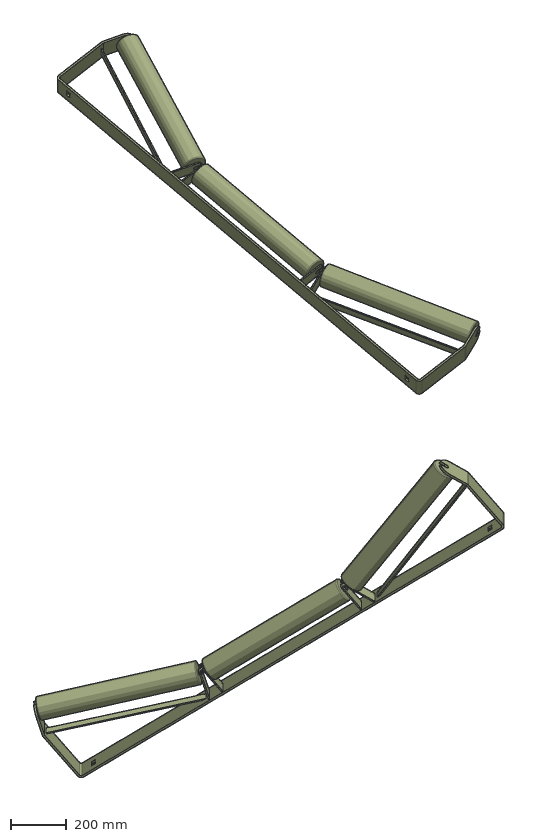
import cadquery as cq
import math


LENGTH = 1890.0
STRAP_WIDTH = 80.0
STRAP_THICK = 8.5
BASE_BEND_RADIUS = 15.0
LEG_BEND_RADIUS = 17.0
END_PLATE_LENGTH = 120.0
MOUNT_HOLE_X = 880.0
MOUNT_HOLE_LENGTH = 17.0
MOUNT_HOLE_HEIGHT = 23.0

ROLLER_DIA = 89.0
ROLLER_LENGTH = 600.0
RIM_RADIUS = 4.0
SHAFT_DIA = 17.0
TROUGH_ANGLE = 20.0
CENTRE_Y = 102.0
SIDE_INNER_X = 338.0
SIDE_INNER_Y = 112.0
INNER_Z = -7.2
INNER_GAP = 5.0
OUTER_GAP = 4.0

BRACKET_THICK = 5.0
BRACKET_WIDTH = 50.0
BRACKET_TOP = 130.0
BRACKET_CORNER_RADIUS = 15.0
STRUT_THICK = 5.0
STRUT_WIDTH = 30.0
STRUT_ANGLE = 21.1
STRUT_FOOT_X = 387.0

SLOT_RISE = 57.0
SLOT_OVERCUT = 2.0

HALF_LENGTH = LENGTH / 2
LEG_INNER_X = HALF_LENGTH - STRAP_THICK
TROUGH = math.radians(TROUGH_ANGLE)
SIN = math.sin(TROUGH)
COS = math.cos(TROUGH)
TAN = math.tan(TROUGH)
INNER_STUB = INNER_GAP + BRACKET_THICK
OUTER_STUB = OUTER_GAP + STRAP_THICK

SIDE_OUTER_X = SIDE_INNER_X + ROLLER_LENGTH * COS
SIDE_OUTER_Y = SIDE_INNER_Y + ROLLER_LENGTH * SIN
LEG_BEND_Y = SIDE_OUTER_Y - ((LEG_INNER_X - SIDE_OUTER_X) * COS - OUTER_GAP) / SIN
BEND_MITRE_RISE = STRAP_THICK * math.tan(TROUGH / 2)

SIDE_TILT = math.degrees(math.asin(-INNER_Z / ROLLER_LENGTH))


def flat_bar(outline, width):
    """Extrude an XY outline symmetrically about Z = 0."""
    return cq.Workplane("XY").polyline(outline).close().extrude(width / 2, both=True)


def mirrored_copy(shape):
    return shape.mirror("YZ")


def place_centre(shape):
    return shape.translate((-ROLLER_LENGTH / 2, CENTRE_Y, INNER_Z))


def place_side(shape):
    """Move a shape built along +X onto the axis of the right side roller."""
    tilted = shape.rotate((0, 0, 0), (0, 1, 0), -SIDE_TILT)
    leaning = tilted.rotate((0, 0, 0), (0, 0, 1), TROUGH_ANGLE)
    return leaning.translate((SIDE_INNER_X, SIDE_INNER_Y, INNER_Z))


def make_roller(left_stub, right_stub):
    """Roller along +X, its left end face at the origin, with a shaft stub at each end."""
    shell = (
        cq.Workplane("YZ")
        .circle(ROLLER_DIA / 2)
        .extrude(ROLLER_LENGTH)
        .edges("<X or >X")
        .fillet(RIM_RADIUS)
    )
    shaft = (
        cq.Workplane("YZ", origin=(-left_stub, 0, 0))
        .circle(SHAFT_DIA / 2)
        .extrude(left_stub + ROLLER_LENGTH + right_stub)
    )
    return shell.union(shaft)


def make_slot(start_x, length):
    """Open-topped slot along +X with a round bottom that seats the shaft."""
    plane = cq.Workplane("YZ", origin=(start_x, 0, 0))
    seat = plane.circle(SHAFT_DIA / 2).extrude(length)
    opening = plane.center(SLOT_RISE / 2, 0).rect(SLOT_RISE, SHAFT_DIA).extrude(length)
    return seat.union(opening)


def make_strap():
    """Base and the upright part of both end legs, with the mounting holes."""
    outside = (
        cq.Workplane("XY")
        .box(LENGTH, LEG_BEND_Y, STRAP_WIDTH, centered=(True, False, True))
        .edges("|Z and <Y")
        .fillet(BASE_BEND_RADIUS)
    )
    inside = (
        cq.Workplane("XY")
        .box(2 * LEG_INNER_X, LEG_BEND_Y, STRAP_WIDTH, centered=(True, False, True))
        .edges("|Z and <Y")
        .fillet(BASE_BEND_RADIUS - STRAP_THICK)
        .translate((0, STRAP_THICK, 0))
    )
    holes = (
        cq.Workplane("XZ")
        .pushPoints([(-MOUNT_HOLE_X, 0), (MOUNT_HOLE_X, 0)])
        .rect(MOUNT_HOLE_LENGTH, MOUNT_HOLE_HEIGHT)
        .extrude(-STRAP_THICK)
    )
    return outside.cut(inside).cut(holes)


def make_end_plate():
    """Leaning upper part of the right end leg, with a full-round tip."""
    inner_face = cq.Plane(
        origin=(LEG_INNER_X, LEG_BEND_Y, 0), xDir=(-SIN, COS, 0), normal=(COS, SIN, 0)
    )
    tip_radius = STRAP_WIDTH / 2
    tip_start = END_PLATE_LENGTH - tip_radius
    plate = (
        cq.Workplane(inner_face)
        .moveTo(0, -tip_radius)
        .lineTo(tip_start, -tip_radius)
        .threePointArc((END_PLATE_LENGTH, 0), (tip_start, tip_radius))
        .lineTo(0, tip_radius)
        .close()
        .extrude(STRAP_THICK)
    )
    wedge = flat_bar(
        [
            (LEG_INNER_X, LEG_BEND_Y),
            (HALF_LENGTH, LEG_BEND_Y),
            (HALF_LENGTH, LEG_BEND_Y + BEND_MITRE_RISE),
            (LEG_INNER_X + STRAP_THICK * COS, LEG_BEND_Y + STRAP_THICK * SIN),
        ],
        STRAP_WIDTH,
    )
    return plate.union(wedge)


def make_bracket():
    """Right bracket: an upright leg and a leg square to the side roller, joined at the top."""
    upright_x = ROLLER_LENGTH / 2 + INNER_GAP
    face_x = SIDE_INNER_X - INNER_GAP * COS
    face_y = SIDE_INNER_Y - INNER_GAP * SIN
    under_top = BRACKET_TOP - BRACKET_THICK

    def leaning_point(y, depth):
        """Point of the leaning leg at height y, at a depth behind its roller-side face."""
        return (face_x - (y - face_y) * TAN - depth / COS, y)

    folded = flat_bar(
        [
            (upright_x, STRAP_THICK),
            (upright_x, BRACKET_TOP),
            leaning_point(BRACKET_TOP, 0),
            leaning_point(STRAP_THICK, 0),
            leaning_point(STRAP_THICK, BRACKET_THICK),
            leaning_point(under_top, BRACKET_THICK),
            (upright_x + BRACKET_THICK, under_top),
            (upright_x + BRACKET_THICK, STRAP_THICK),
        ],
        BRACKET_WIDTH,
    )
    rounded_profile = (
        cq.Workplane("XY")
        .box(HALF_LENGTH, BRACKET_TOP, BRACKET_WIDTH, centered=(False, False, True))
        .edges("|X and >Y")
        .fillet(BRACKET_CORNER_RADIUS)
    )
    return folded.intersect(rounded_profile).translate((0, 0, INNER_Z))


def make_strut():
    """Right strut: a flat bar from the base up to the end leg."""
    slope = math.radians(STRUT_ANGLE)
    half_run = STRUT_THICK / 2 / math.sin(slope)
    half_rise = STRUT_THICK / 2 / math.cos(slope)
    head_y = STRAP_THICK + (LEG_INNER_X - STRUT_FOOT_X) * math.tan(slope)
    return flat_bar(
        [
            (STRUT_FOOT_X - half_run, STRAP_THICK),
            (STRUT_FOOT_X + half_run, STRAP_THICK),
            (LEG_INNER_X, head_y - half_rise),
            (LEG_INNER_X, head_y + half_rise),
        ],
        STRUT_WIDTH,
    )


def make_frame():
    end_plate = make_end_plate()
    frame = make_strap().union(end_plate).union(mirrored_copy(end_plate))
    for corner_x in (-HALF_LENGTH, HALF_LENGTH):
        bend_corner = (corner_x, LEG_BEND_Y + BEND_MITRE_RISE, 0)
        frame = frame.edges(cq.NearestToPointSelector(bend_corner)).fillet(LEG_BEND_RADIUS)

    for member in (make_bracket(), make_strut()):
        frame = frame.union(member).union(mirrored_copy(member))

    inner_slot_length = INNER_STUB + SLOT_OVERCUT
    outer_slot_length = OUTER_STUB + SLOT_OVERCUT
    slots = (
        place_centre(make_slot(ROLLER_LENGTH, inner_slot_length)),
        place_side(make_slot(-inner_slot_length, inner_slot_length)),
        place_side(make_slot(ROLLER_LENGTH, outer_slot_length)),
    )
    for slot in slots:
        frame = frame.cut(slot).cut(mirrored_copy(slot))
    return frame


frame = make_frame()
centre_roller = place_centre(make_roller(INNER_STUB, INNER_STUB))
right_roller = place_side(make_roller(INNER_STUB, OUTER_STUB))
side_rollers = [right_roller, mirrored_copy(right_roller)]

result = cq.Compound.makeCompound(
    [frame.val(), centre_roller.val(), *[roller.val() for roller in side_rollers]]
)